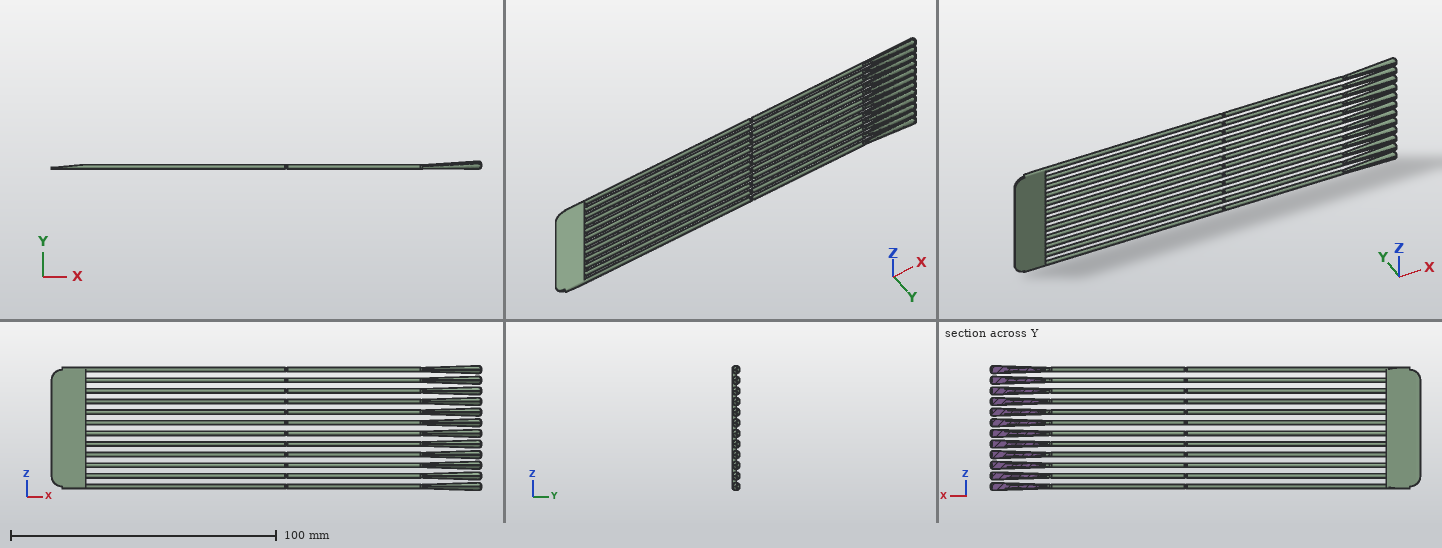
import cadquery as cq

length = 161.8
height = 47.0
applicator_count = 12

rod_radius = 0.83
groove_center_x = 88.4
groove_width = 1.0
groove_depth = 0.28

head_start = 138.8
head_root_radius = 0.75
head_radius = 1.47
tip_rounding = 1.1

slit_count = 3
slit_setback = 0.6
slit_width = 0.26
slit_depth = 0.5

handle_length = 13.0
handle_edge_thickness = 0.6
handle_thickness = 2 * rod_radius
ramp_start = 1.6
ramp_end = 12.1
corner_radius = 4.0

row_height = height - 2 * head_radius
pitch = row_height / (applicator_count - 1)
front_y = -rod_radius
tip_start = length - tip_rounding
root_center_y = front_y + head_root_radius
tip_center_y = front_y + head_radius


def handle_profile(end):
    """Side outline of the handle in XY, its full thickness running on to the given X."""
    back_edge_y = front_y + handle_edge_thickness
    back_y = front_y + handle_thickness
    return cq.Workplane("XY").polyline([
        (0, front_y),
        (end, front_y),
        (end, back_y),
        (ramp_end, back_y),
        (ramp_start, back_edge_y),
        (0, back_edge_y),
    ]).close()


def make_handle():
    """Ramped plate with its two outer corners rounded."""
    plate = handle_profile(handle_length).extrude(row_height)
    return plate.edges("<X and |Y").fillet(corner_radius)


def make_rod():
    """Round rod that starts inside the handle, trimmed by the handle's ramp."""
    rod = (
        cq.Workplane("YZ", origin=(corner_radius, 0, 0))
        .circle(rod_radius)
        .extrude(head_start - corner_radius)
    )
    envelope = handle_profile(length).extrude(rod_radius, both=True)
    groove = (
        cq.Workplane("XY", origin=(groove_center_x, 0, 0))
        .moveTo(-groove_width / 2, rod_radius)
        .lineTo(0, rod_radius - groove_depth)
        .lineTo(groove_width / 2, rod_radius)
        .close()
        .revolve(360, (0, 0, 0), (1, 0, 0))
    )
    return rod.intersect(envelope).cut(groove)


def make_slit():
    """Blade that cuts the -Y slit, following the straight side and open at the tip."""
    start = head_start + slit_setback
    floor_y = front_y + slit_depth
    return (
        cq.Workplane("XY")
        .polyline([
            (start, front_y - slit_depth),
            (start, floor_y),
            (length - slit_depth, floor_y),
            (length - slit_depth, tip_center_y),
            (length + slit_depth, tip_center_y),
            (length + slit_depth, front_y - slit_depth),
        ])
        .close()
        .extrude(slit_width / 2, both=True)
    )


def make_head():
    """Cone and rounded tip, with slits spaced evenly about the cone's axis."""
    cone = (
        cq.Workplane("YZ", origin=(head_start, root_center_y, 0))
        .circle(head_root_radius)
        .workplane(offset=tip_start - head_start)
        .center(tip_center_y - root_center_y, 0)
        .circle(head_radius)
        .loft()
    )
    tip_flat_radius = head_radius - tip_rounding
    tip = (
        cq.Workplane("XY", origin=(tip_start, tip_center_y, 0))
        .lineTo(tip_rounding, 0)
        .lineTo(tip_rounding, tip_flat_radius)
        .radiusArc((0, head_radius), -tip_rounding)
        .close()
        .revolve(360, (0, 0, 0), (1, 0, 0))
    )
    head = cone.union(tip)
    slit = make_slit()
    axis_start = (head_start, root_center_y, 0)
    axis_end = (tip_start, tip_center_y, 0)
    for index in range(slit_count):
        head = head.cut(slit.rotate(axis_start, axis_end, index * 360 / slit_count))
    return head


applicator = make_rod().union(make_head())
result = make_handle()
for index in range(applicator_count):
    result = result.union(applicator.translate((0, 0, index * pitch)))